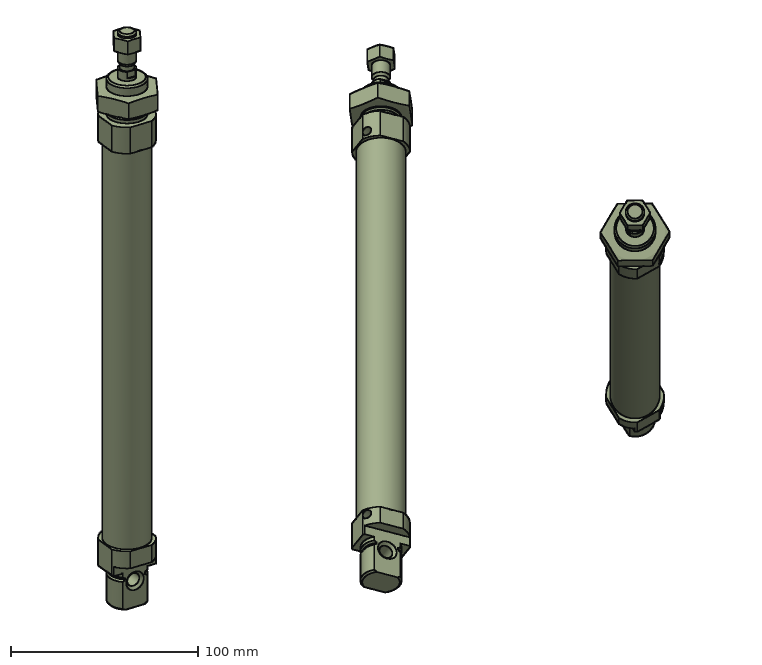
import cadquery as cq
import math


total_length = 344.7
head_top = 294.5
head_height = 16.0
head_bottom = head_top - head_height
collar_top = 316.8
rear_cap_top = 38.3
rear_cap_bottom = 22.5
eye_flat_top = 28.0

barrel_diameter = 26.5
cap_diameter = 31.0
cap_across_flats = 28.0
thread_diameter = 22.0
thread_end_chamfer = 1.0
thread_relief_diameter = 20.0
relief_cone = (thread_diameter - thread_relief_diameter) / 2

collar_groove_bottom = 296.5
collar_groove_top = 300.0
shank_groove_bottom = 17.2
shank_groove_top = 20.0

eye_thickness = 16.0
eye_hole_diameter = 7.5
eye_hole_chamfer = 1.7
eye_hole_height = 16.0

screw_hole_diameter = 5.0
screw_hole_depth = 6.2
screw_hole_angle = 126.0
screw_hole_heights = [34.8, 282.5]

rod_diameter = 10.0
rod_end_chamfer = 1.0
rod_relief_diameter = 8.0
rod_relief_bottom = 322.3
rod_relief_top = 326.8
rod_relief_cone = 1.7
rod_across_flats = 8.5
rod_flat_bottom = 318.5
rod_bottom = head_bottom

mounting_nut_across_flats = 32.0
mounting_nut_bottom = 300.5
mounting_nut_height = 10.5
rod_nut_across_flats = 14.0
rod_nut_height = 8.3
rod_protrusion = 2.0
rod_nut_bottom = total_length - rod_protrusion - rod_nut_height
nut_chamfer_angle = 10.0


def cylinder(diameter, bottom, top):
    return cq.Workplane("XY").workplane(offset=bottom).circle(diameter / 2).extrude(top - bottom)


def cap(bottom, top):
    """Round cap with four flats, facing +X, -X, +Y and -Y."""
    block = cq.Workplane("XY").workplane(offset=bottom).rect(cap_across_flats, cap_across_flats)
    return block.extrude(top - bottom).intersect(cylinder(cap_diameter, bottom, top))


def relief_groove(outer_diameter, inner_diameter, bottom, top, bottom_cone, top_cone):
    """Ring that cuts a groove; each cone is the height of that groove wall."""
    outer = outer_diameter / 2
    inner = inner_diameter / 2
    profile = [
        (outer, bottom),
        (inner, bottom + bottom_cone),
        (inner, top - top_cone),
        (outer, top),
    ]
    return cq.Workplane("XZ").polyline(profile).close().revolve(360, (0, 0, 0), (0, 1, 0))


def eye_flats():
    """The two side pieces that leave the flat eye below the rear cap."""
    side_depth = (cap_across_flats - eye_thickness) / 2
    sides = cq.Workplane("XY").pushPoints(
        [(side * (eye_thickness + side_depth) / 2, 0) for side in (-1, 1)]
    )
    return sides.rect(side_depth, cap_diameter).extrude(eye_flat_top)


def eye_hole():
    """Cross hole along X, chamfered at both faces of the eye."""
    half_thickness = eye_thickness / 2
    radius = eye_hole_diameter / 2
    rim_radius = radius + eye_hole_chamfer
    profile = [
        (-half_thickness, 0),
        (-half_thickness, rim_radius),
        (eye_hole_chamfer - half_thickness, radius),
        (half_thickness - eye_hole_chamfer, radius),
        (half_thickness, rim_radius),
        (half_thickness, 0),
    ]
    hole = cq.Workplane("XZ").polyline(profile).close().revolve(360, (0, 0, 0), (1, 0, 0))
    return hole.translate((0, 0, eye_hole_height))


def screw_hole(height):
    """Blind radial hole on the rounded corner of a cap."""
    angle = math.radians(screw_hole_angle)
    outward = cq.Vector(math.cos(angle), math.sin(angle), 0)
    floor = outward * (cap_diameter / 2 - screw_hole_depth) + cq.Vector(0, 0, height)
    hole = cq.Solid.makeCylinder(screw_hole_diameter / 2, 2 * screw_hole_depth, floor, outward)
    return cq.Workplane(hole)


def make_rod():
    rod = cylinder(rod_diameter, rod_bottom, total_length).faces(">Z").chamfer(rod_end_chamfer)
    rod = rod.cut(
        relief_groove(
            rod_diameter, rod_relief_diameter, rod_relief_bottom, rod_relief_top, 0, rod_relief_cone
        )
    )
    flat_depth = (rod_diameter - rod_across_flats) / 2
    flat_height = rod_relief_bottom - rod_flat_bottom
    for side in (-1, 1):
        flat = cq.Workplane("XY").workplane(offset=rod_flat_bottom)
        flat = flat.center(side * (rod_across_flats + flat_depth) / 2, 0).rect(flat_depth, rod_diameter)
        rod = rod.cut(flat.extrude(flat_height))
    return rod


def make_housing():
    shank = cylinder(thread_diameter, 0, rear_cap_bottom).faces("<Z").chamfer(thread_end_chamfer)
    collar = cylinder(thread_diameter, head_top, collar_top).faces(">Z").chamfer(thread_end_chamfer)
    housing = (
        shank.union(cap(rear_cap_bottom, rear_cap_top))
        .union(cylinder(barrel_diameter, rear_cap_top, head_bottom))
        .union(cap(head_bottom, head_top))
        .union(collar)
    )
    for groove_bottom, groove_top in (
        (shank_groove_bottom, shank_groove_top),
        (collar_groove_bottom, collar_groove_top),
    ):
        housing = housing.cut(
            relief_groove(
                thread_diameter,
                thread_relief_diameter,
                groove_bottom,
                groove_top,
                relief_cone,
                relief_cone,
            )
        )
    housing = housing.cut(eye_flats()).cut(eye_hole())
    for height in screw_hole_heights:
        housing = housing.cut(screw_hole(height))
    return housing.cut(cylinder(rod_diameter, rod_bottom, collar_top))


def make_nut(across_flats, bore_diameter, bottom, height):
    """Hexagon nut with flats facing -X and +X, corners chamfered at both ends."""
    corner_radius = across_flats / math.sqrt(3)
    flat_radius = across_flats / 2
    chamfer_height = (corner_radius - flat_radius) * math.tan(math.radians(nut_chamfer_angle))
    hexagon = cq.Workplane("XY").polygon(6, 2 * corner_radius).extrude(height)
    hexagon = hexagon.rotate((0, 0, 0), (0, 0, 1), 30)
    profile = [
        (0, 0),
        (flat_radius, 0),
        (corner_radius, chamfer_height),
        (corner_radius, height - chamfer_height),
        (flat_radius, height),
        (0, height),
    ]
    chamfered = cq.Workplane("XZ").polyline(profile).close().revolve(360, (0, 0, 0), (0, 1, 0))
    nut = hexagon.intersect(chamfered).cut(cylinder(bore_diameter, 0, height))
    return nut.translate((0, 0, bottom))


housing = make_housing()
rod = make_rod()
mounting_nut = make_nut(
    mounting_nut_across_flats, thread_diameter, mounting_nut_bottom, mounting_nut_height
)
rod_nut = make_nut(rod_nut_across_flats, rod_diameter, rod_nut_bottom, rod_nut_height)

result = cq.Compound.makeCompound([housing.val(), rod.val(), mounting_nut.val(), rod_nut.val()])